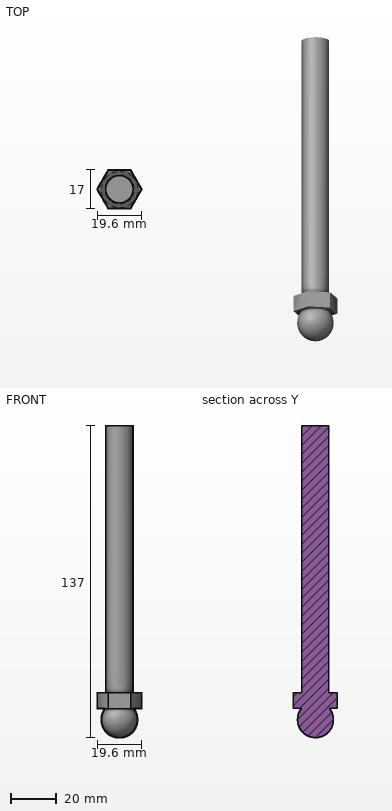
import cadquery as cq
import math

total_length = 137.0
rod_diameter = 12.0
hex_across_flats = 17.0
hex_height = 7.0
hex_bottom = 12.9
ball_diameter = 16.0

ball_radius = ball_diameter / 2
hex_across_corners = hex_across_flats / math.cos(math.radians(30))
hex_top = hex_bottom + hex_height

ball = cq.Workplane("XY").sphere(ball_radius).translate((0, 0, ball_radius))

collar = (
    cq.Workplane("XY")
    .workplane(offset=hex_bottom)
    .polygon(6, hex_across_corners)
    .extrude(hex_height)
)

rod = (
    cq.Workplane("XY")
    .workplane(offset=hex_top)
    .circle(rod_diameter / 2)
    .extrude(total_length - hex_top)
)

result = ball.union(collar).union(rod)